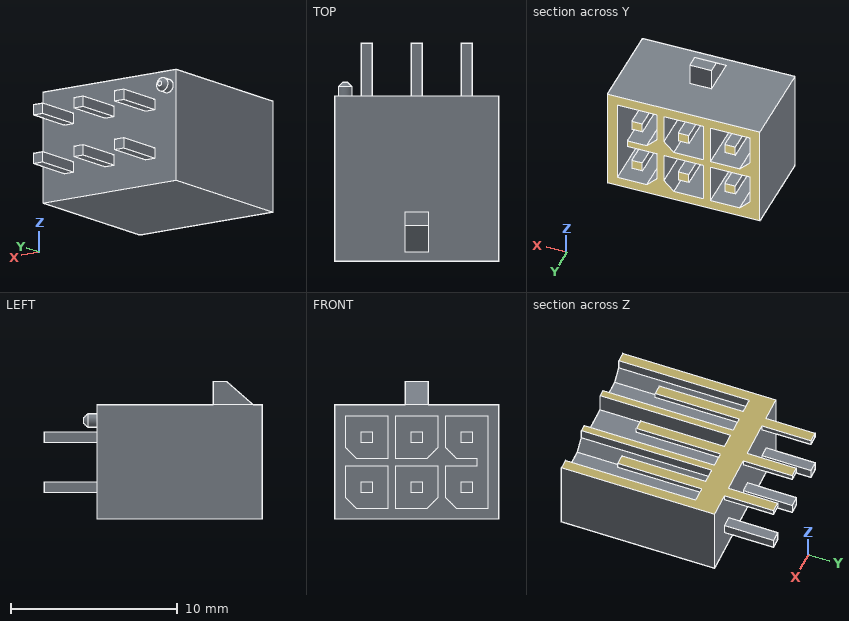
import cadquery as cq

overall_length = 13.09
overall_height = 8.26
body_width = 9.85
latch_height = 1.4
body_height = overall_height - latch_height
tail_length = 3.17
body_length = overall_length - tail_length

pitch = 3.0
column_xs = [-pitch, 0.0, pitch]
lower_row_z = 1.91
row_zs = [lower_row_z, lower_row_z + pitch]

cavity_size = 2.53
cavity_chamfer = 0.64
back_wall = 1.5
cavity_depth = body_length - back_wall
key_slot_width = 0.64

pin_width = 0.68
pin_thickness = 0.64
pin_recess = 3.0

latch_width = 1.4
latch_front = 0.55
latch_back = 2.95
latch_flat = 0.8

peg_diameter = 0.83
peg_length = 0.82
peg_chamfer = 0.27
peg_x = -4.29
peg_rise_above_upper_row = 1.0
peg_z = row_zs[-1] + peg_rise_above_upper_row


def box(x_start, x_end, y_start, y_end, z_start, z_end):
    """Block spanning the given limits on each axis."""
    size = (x_end - x_start, y_end - y_start, z_end - z_start)
    return cq.Workplane("XY").box(*size, centered=False).translate((x_start, y_start, z_start))


def make_body():
    half_width = body_width / 2
    return box(-half_width, half_width, 0, body_length, 0, body_height)


def make_cavity(x, z, chamfer_side):
    """Square cavity with one lower corner cut: side -1 is the -X corner, +1 the +X corner."""
    half = cavity_size / 2
    outline = [
        (-chamfer_side * half, half),
        (chamfer_side * half, half),
        (chamfer_side * half, cavity_chamfer - half),
        (chamfer_side * (half - cavity_chamfer), -half),
        (-chamfer_side * half, -half),
    ]
    return cq.Workplane("XZ").polyline(outline).close().extrude(-cavity_depth).translate((x, 0, z))


def make_key_slot():
    """Gap at the +X wall that joins the two cavities of the last column."""
    slot_right = column_xs[-1] + cavity_size / 2
    return box(slot_right - key_slot_width, slot_right, 0, cavity_depth, row_zs[0], row_zs[1])


def make_pin(x, z):
    half_width = pin_width / 2
    half_thickness = pin_thickness / 2
    return box(
        x - half_width,
        x + half_width,
        pin_recess,
        overall_length,
        z - half_thickness,
        z + half_thickness,
    )


def make_latch():
    """Wedge that rises from the front to a short flat, then drops square at the back."""
    profile = [
        (latch_front, body_height),
        (latch_back, body_height),
        (latch_back, overall_height),
        (latch_back - latch_flat, overall_height),
    ]
    return cq.Workplane("YZ").polyline(profile).close().extrude(latch_width / 2, both=True)


def make_peg():
    peg = cq.Workplane("XZ").circle(peg_diameter / 2).extrude(-peg_length)
    return peg.faces(">Y").chamfer(peg_chamfer).translate((peg_x, body_length, peg_z))


result = make_body().union(make_latch()).union(make_peg())

chamfer_sides = [-1, 1, -1]
for column_x, side in zip(column_xs, chamfer_sides):
    for row_z in row_zs:
        result = result.cut(make_cavity(column_x, row_z, side))
result = result.cut(make_key_slot())

for column_x in column_xs:
    for row_z in row_zs:
        result = result.union(make_pin(column_x, row_z))